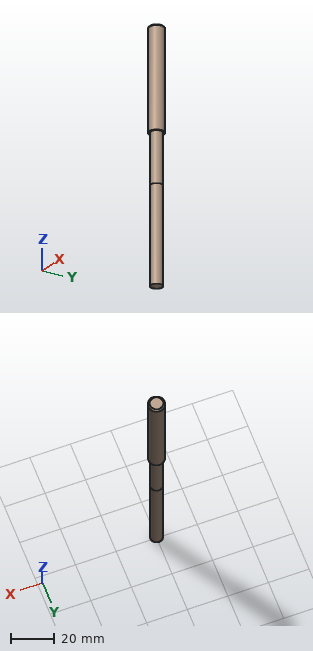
import cadquery as cq
import math

total_length = 131.2
shank_diameter = 8.0
shank_length = 53.1
shank_chamfer = 0.85
flute_diameter = 6.2
neck_length = 26.5
point_angle = 140.0

shank_radius = shank_diameter / 2
flute_radius = flute_diameter / 2
point_height = flute_radius / math.tan(math.radians(point_angle / 2))
shank_bottom = total_length - shank_length
neck_bottom = shank_bottom - neck_length


def make_shank():
    """Chamfered shank with the thinner neck below it."""
    shank = (
        cq.Workplane("XY", origin=(0, 0, shank_bottom))
        .circle(shank_radius)
        .extrude(shank_length)
        .faces(">Z")
        .chamfer(shank_chamfer)
    )
    neck = (
        cq.Workplane("XY", origin=(0, 0, neck_bottom))
        .circle(flute_radius)
        .extrude(neck_length)
    )
    return shank.union(neck)


def make_cutting_part():
    """Plain cylinder for the cutting length, ending in a conical point."""
    return (
        cq.Workplane("XZ")
        .polyline([
            (0, 0),
            (flute_radius, point_height),
            (flute_radius, neck_bottom),
            (0, neck_bottom),
        ])
        .close()
        .revolve(360, (0, 0), (0, 1))
    )


shank = make_shank()
cutting_part = make_cutting_part()

result = cq.Compound.makeCompound([shank.val(), cutting_part.val()])